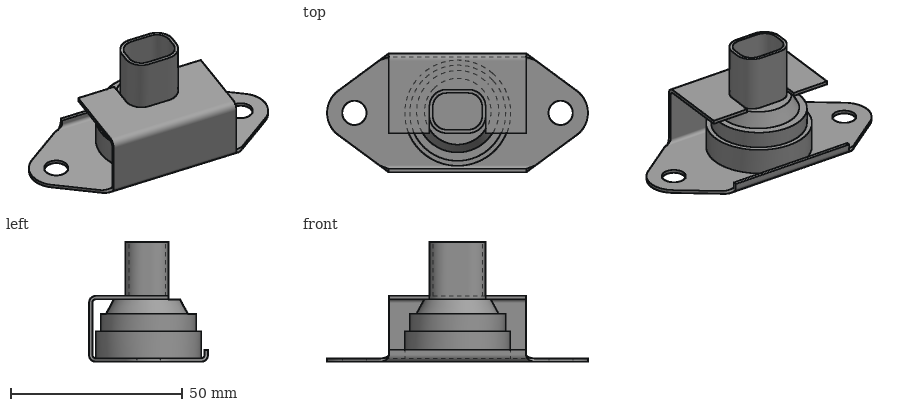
import cadquery as cq
import math

base_length = 76.14
bracket_depth = 34.75
total_height = 35.0

sheet = 1.05
bend_outer = 2 * sheet
bend_inner = bend_outer - sheet
bracket_width = 40.0
bracket_height = 19.3
flange_front_y = -5.9
lip_height = 3.5
bend_axis_y = bracket_depth / 2 - bend_outer

ear_radius = 8.0
ear_x = base_length / 2 - ear_radius
ear_hole_diameter = 7.0

corner_offset_x = bracket_width / 2 - ear_x
corner_offset_y = bracket_depth / 2
corner_distance = math.hypot(corner_offset_x, corner_offset_y)
tangent_angle = math.atan2(corner_offset_y, corner_offset_x) - math.acos(ear_radius / corner_distance)
tangent_x = ear_x + ear_radius * math.cos(tangent_angle)
tangent_y = ear_radius * math.sin(tangent_angle)
bend_taper = bend_outer * math.tan(tangent_angle)

lower_radius = 15.45
lower_top = 9.0
upper_radius = 14.0
upper_top = 14.0
body_top = bracket_height - sheet
cone_base_radius = 12.0
cone_top_radius = 9.7

connector_y = 0.45
connector_length = 16.4
connector_depth = 2 * (connector_y - flange_front_y)
connector_radius = 5.0
connector_wall = 1.0


def block(x_size, y_min, y_max, z_min, z_max):
    """Box centred on X with the given Y and Z limits."""
    size = (x_size, y_max - y_min, z_max - z_min)
    return cq.Workplane("XY").box(*size, centered=(True, False, False)).translate((0, y_min, z_min))


def base_outline():
    """Sheet over the whole base: two rounded ears tapering out to the bracket corners."""
    corner_x = bracket_width / 2
    corner_y = bracket_depth / 2
    return (
        cq.Workplane("XY")
        .moveTo(-corner_x, corner_y)
        .lineTo(corner_x, corner_y)
        .lineTo(tangent_x, tangent_y)
        .threePointArc((base_length / 2, 0), (tangent_x, -tangent_y))
        .lineTo(corner_x, -corner_y)
        .lineTo(-corner_x, -corner_y)
        .lineTo(-tangent_x, -tangent_y)
        .threePointArc((-base_length / 2, 0), (-tangent_x, tangent_y))
        .close()
        .extrude(sheet)
    )


def base_plate():
    """Flat plate with two mounting holes, up to the start of the bends."""
    flat_area = block(base_length, -bend_axis_y, bend_axis_y, 0, sheet)
    return (
        base_outline()
        .intersect(flat_area)
        .faces("<Z")
        .workplane(origin=(0, 0, 0))
        .pushPoints([(-ear_x, 0), (ear_x, 0)])
        .circle(ear_hole_diameter / 2)
        .cutThruAll()
    )


def bend_profile(start_x, axis_y, axis_z, z_side):
    """Quarter ring section of a rear bend, drawn around the bend axis."""
    diagonal = math.sqrt(0.5)
    return (
        cq.Workplane("YZ", origin=(start_x, axis_y, axis_z))
        .moveTo(0, z_side * bend_inner)
        .lineTo(0, z_side * bend_outer)
        .threePointArc((diagonal * bend_outer, z_side * diagonal * bend_outer), (bend_outer, 0))
        .lineTo(bend_inner, 0)
        .threePointArc((diagonal * bend_inner, z_side * diagonal * bend_inner), (0, z_side * bend_inner))
        .close()
    )


def bend_end_curve(radius):
    """Curve around the base bend axis that moves inward along X in step with its sideways travel."""
    quarter_steps = 9
    angle_step = math.pi / 2 / quarter_steps
    start_angle = -angle_step
    intervals = quarter_steps + 2
    points = []
    for index in range(intervals + 1):
        angle = start_angle + index * angle_step
        x = bracket_width / 2 + bend_taper * (1 - math.sin(angle))
        y = bend_axis_y + radius * math.sin(angle)
        z = bend_outer - radius * math.cos(angle)
        points.append(cq.Vector(x, y, z))
    parameters = [index / intervals for index in range(intervals + 1)]
    return cq.Edge.makeSpline(points, parameters=parameters)


def base_bend():
    """Rear bend at the base, narrowing from plate width to wall width with ends square to the sheet."""
    corner_x = bracket_width / 2
    straight = bend_profile(-corner_x, bend_axis_y, bend_outer, -1).extrude(bracket_width)
    untrimmed = bend_profile(corner_x, bend_axis_y, bend_outer, -1).extrude(bend_taper)
    end_surface = cq.Face.makeRuledSurface(bend_end_curve(bend_inner / 2), bend_end_curve(2 * bend_outer))
    end = untrimmed.split(cq.Workplane(end_surface)).solids("<X")
    return straight.union(end).union(end.mirror("YZ"))


def bracket():
    """Base plate, rear wall with a top flange, and a low front lip."""
    outer_y = bracket_depth / 2
    bend = base_bend()
    top_bend_z = bracket_height - bend_outer
    top_bend = bend_profile(-bracket_width / 2, bend_axis_y, top_bend_z, 1).extrude(bracket_width)
    wall = block(bracket_width, outer_y - sheet, outer_y, bend_outer, top_bend_z)
    flange = block(bracket_width, flange_front_y, bend_axis_y, body_top, bracket_height)
    notch = block(connector_length, flange_front_y, connector_y, body_top, bracket_height)
    lip = block(bracket_width, -outer_y, sheet - outer_y, bend_outer, lip_height)
    parts = [bend, bend.mirror("XZ"), wall, top_bend, flange.cut(notch), lip]
    folded_sheet = base_plate()
    for part in parts:
        folded_sheet = folded_sheet.union(part)
    return folded_sheet


def sensor_body():
    """Two stacked discs carrying a truncated cone."""
    lower = cq.Workplane("XY", origin=(0, 0, sheet)).circle(lower_radius).extrude(lower_top - sheet)
    upper = cq.Workplane("XY", origin=(0, 0, lower_top)).circle(upper_radius).extrude(upper_top - lower_top)
    cone = (
        cq.Workplane("XY", origin=(0, connector_y, upper_top))
        .circle(cone_base_radius)
        .workplane(offset=body_top - upper_top)
        .circle(cone_top_radius)
        .loft()
    )
    return lower.union(upper).union(cone)


def connector_prism(inset):
    """Rounded rectangular prism from the cone to the top, shrunk sideways by the inset."""
    return (
        cq.Workplane("XY", origin=(0, connector_y, body_top))
        .rect(connector_length - 2 * inset, connector_depth - 2 * inset)
        .extrude(total_height - body_top)
        .edges("|Z")
        .fillet(connector_radius - inset)
    )


connector_cavity = connector_prism(connector_wall)
result = bracket().union(sensor_body()).union(connector_prism(0)).cut(connector_cavity)